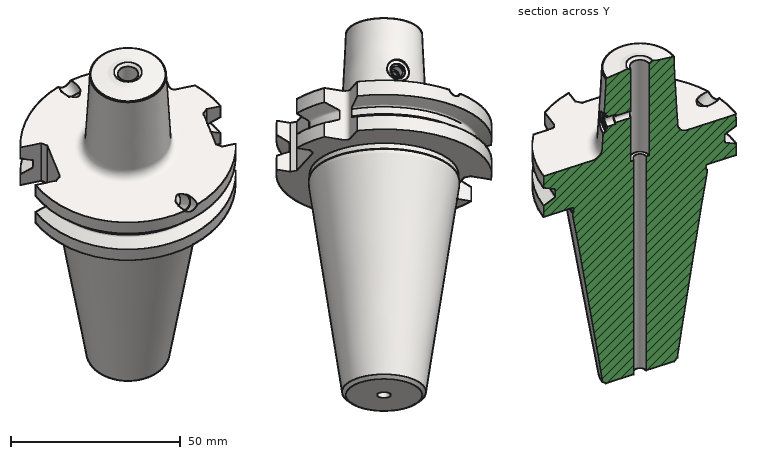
import cadquery as cq
import math


gauge_radius = 44.45 / 2
taper_length = 68.4
taper_slope = 7 / 48
tail_chamfer = 1.0
tail_radius = gauge_radius - taper_length * taper_slope
gauge_land_height = 1.15
neck_radius = 22.0
neck_start = 1.5

flange_radius = 63.55 / 2
flange_bottom = 3.2
flange_top = 19.1
groove_center = 11.1
groove_width = 6.7
groove_root_radius = 28.0
groove_root_fillet = 0.6
groove_flank_angle = 26.0

slot_width = 16.1
rear_slot_floor = 25.0
front_slot_floor = 22.8
slot_corner_chamfer = 1.5
notch_wall = 18.4
notch_corner_radius = 1.6

nose_top = 50.0
nose_base_radius = 12.75
nose_cove_radius = 3.0
nose_edge_radius = 11.3
nose_edge_height = 48.7
nose_edge_chamfer = 0.3
face_inner_radius = 6.0
face_inner_height = 49.6
rim_radius = 4.5

bore_radius = 3.0
bore_depth = 36.0
bore_mouth_radius = 4.1
bore_mouth_depth = 0.7
through_radius = 2.0

screw_height = 32.0
screw_recess_radius = 3.45
screw_recess_floor = 11.3
screw_seat_radius = 2.35
screw_seat_floor = 10.8
screw_socket_radius = 1.75
screw_socket_floor = 8.0
screw_hole_radius = 1.2

port_azimuth = 20.0
port_tilt = 35.0
port_axis_radius = 29.2
port_mouth_radius = 2.6
port_radius = 2.4
port_mouth_depth = 2.3
port_depth = 8.0


def make_body():
    groove_half = groove_width / 2
    flank_rise = (flange_radius - groove_root_radius) * math.tan(math.radians(groove_flank_angle))
    root_half = groove_half - flank_rise
    profile = (
        cq.Workplane("YZ")
        .moveTo(0, -taper_length)
        .lineTo(tail_radius - tail_chamfer, -taper_length)
        .lineTo(tail_radius + tail_chamfer * taper_slope, -taper_length + tail_chamfer)
        .lineTo(gauge_radius, 0)
        .lineTo(gauge_radius, gauge_land_height)
        .lineTo(neck_radius, neck_start)
        .lineTo(neck_radius, flange_bottom)
        .lineTo(flange_radius, flange_bottom)
        .lineTo(flange_radius, groove_center - groove_half)
        .lineTo(groove_root_radius, groove_center - root_half)
        .lineTo(groove_root_radius, groove_center + root_half)
        .lineTo(flange_radius, groove_center + groove_half)
        .lineTo(flange_radius, flange_top)
        .lineTo(nose_base_radius, flange_top)
        .lineTo(nose_edge_radius, nose_edge_height)
        .lineTo(nose_edge_radius - nose_edge_chamfer, nose_edge_height + nose_edge_chamfer)
        .lineTo(face_inner_radius, face_inner_height)
        .lineTo(rim_radius, nose_top)
        .lineTo(0, nose_top)
        .close()
    )
    return profile.revolve(360, (0, 0, 0), (0, 1, 0))


def ring_edges(radius, low, high):
    """Selector for the edges centered between two heights and within a radius of the axis."""
    return cq.selectors.BoxSelector((-radius, -radius, low), (radius, radius, high))


def round_groove_root(body):
    quarter = groove_width / 4
    root = ring_edges(flange_radius, groove_center - quarter, groove_center + quarter)
    return body.edges(root).fillet(groove_root_fillet)


def round_nose_base(body):
    """Cove between the nose cone and the flange face: the smaller of the two circles at that height."""
    margin = 0.1
    face_circles = ring_edges(flange_radius, flange_top - margin, flange_top + margin)
    inner_circle = cq.selectors.RadiusNthSelector(0)
    return body.edges("%CIRCLE").edges(face_circles).edges(inner_circle).fillet(nose_cove_radius)


def make_slot(floor, side):
    """Drive slot open to the outside; side is +1 toward +Y and -1 toward -Y."""
    half = slot_width / 2
    outline = (
        cq.Workplane("XY", origin=(0, 0, flange_bottom))
        .moveTo(-half, side * flange_radius)
        .lineTo(-half, side * (floor + slot_corner_chamfer))
        .lineTo(-half + slot_corner_chamfer, side * floor)
        .lineTo(half - slot_corner_chamfer, side * floor)
        .lineTo(half, side * (floor + slot_corner_chamfer))
        .lineTo(half, side * flange_radius)
        .close()
    )
    return outline.extrude(flange_top - flange_bottom)


def make_orientation_notch():
    reach = flange_radius - notch_wall
    height = flange_top - flange_bottom
    corner = cq.Workplane("XY", origin=(-flange_radius, notch_wall, flange_bottom))
    block = corner.box(reach, reach, height, centered=False)
    return block.edges("|Z and >X and <Y").fillet(notch_corner_radius)


def make_tool_bore():
    profile = (
        cq.Workplane("YZ")
        .moveTo(0, nose_top)
        .lineTo(bore_mouth_radius, nose_top)
        .lineTo(bore_radius, nose_top - bore_mouth_depth)
        .lineTo(bore_radius, nose_top - bore_depth)
        .lineTo(through_radius, nose_top - bore_depth)
        .lineTo(through_radius, -taper_length)
        .lineTo(0, -taper_length)
        .close()
    )
    return profile.revolve(360, (0, 0, 0), (0, 1, 0))


def make_screw_hole():
    profile = (
        cq.Workplane("XZ", origin=(0, 0, screw_height))
        .lineTo(0, screw_hole_radius)
        .lineTo(-screw_socket_floor, screw_hole_radius)
        .lineTo(-screw_socket_floor, screw_socket_radius)
        .lineTo(-screw_seat_floor, screw_socket_radius)
        .lineTo(-screw_seat_floor, screw_seat_radius)
        .lineTo(-screw_recess_floor, screw_seat_radius)
        .lineTo(-screw_recess_floor, screw_recess_radius)
        .lineTo(-nose_base_radius, screw_recess_radius)
        .lineTo(-nose_base_radius, 0)
        .close()
    )
    return profile.revolve(360, (0, 0, 0), (1, 0, 0))


def make_coolant_port(azimuth):
    tilt = math.radians(port_tilt)
    inward = cq.Vector(-math.cos(tilt), 0, -math.sin(tilt))
    outside = flange_radius
    crossing = cq.Vector(port_axis_radius, 0, flange_top)
    start = crossing - inward * outside
    mouth = cq.Solid.makeCylinder(port_mouth_radius, outside + port_mouth_depth, start, inward)
    port = cq.Solid.makeCylinder(port_radius, outside + port_depth, start, inward)
    return cq.Workplane(mouth).union(cq.Workplane(port)).rotate((0, 0, 0), (0, 0, 1), azimuth)


result = round_nose_base(round_groove_root(make_body()))
result = result.cut(make_slot(rear_slot_floor, 1))
result = result.cut(make_slot(front_slot_floor, -1))
result = result.cut(make_orientation_notch())
result = result.cut(make_tool_bore())
result = result.cut(make_screw_hole())
for azimuth in (port_azimuth, port_azimuth + 180):
    result = result.cut(make_coolant_port(azimuth))